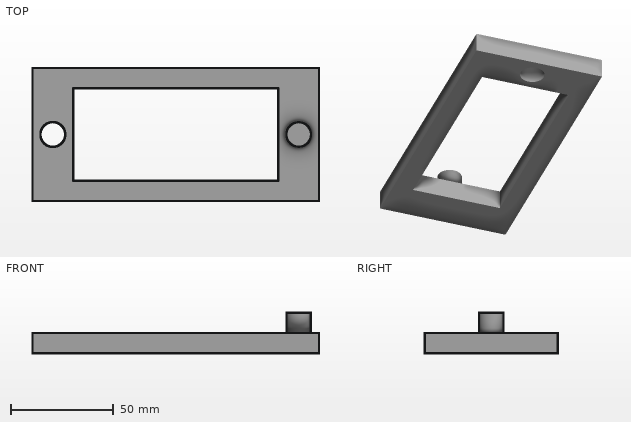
import cadquery as cq

frame_length = 140.0
frame_width = 65.0
frame_thickness = 10.0

end_bar_width = 20.0
side_bar_width = 10.0
window_length = frame_length - 2 * end_bar_width
window_width = frame_width - 2 * side_bar_width

pin_diameter = 12.0
pin_height = 10.0
hole_diameter = pin_diameter
end_bar_center = (frame_length - end_bar_width) / 2


def make_frame():
    """Flat rectangular frame standing on the XY plane."""
    return (
        cq.Workplane("XY")
        .rect(frame_length, frame_width)
        .rect(window_length, window_width)
        .extrude(frame_thickness)
    )


def make_hole():
    """Cutter for the through hole in the -X end bar."""
    return (
        cq.Workplane("XY")
        .center(-end_bar_center, 0)
        .circle(hole_diameter / 2)
        .extrude(frame_thickness)
    )


def make_pin():
    """Round pin standing on top of the +X end bar."""
    return (
        cq.Workplane("XY", origin=(0, 0, frame_thickness))
        .center(end_bar_center, 0)
        .circle(pin_diameter / 2)
        .extrude(pin_height)
    )


result = make_frame().cut(make_hole()).union(make_pin())